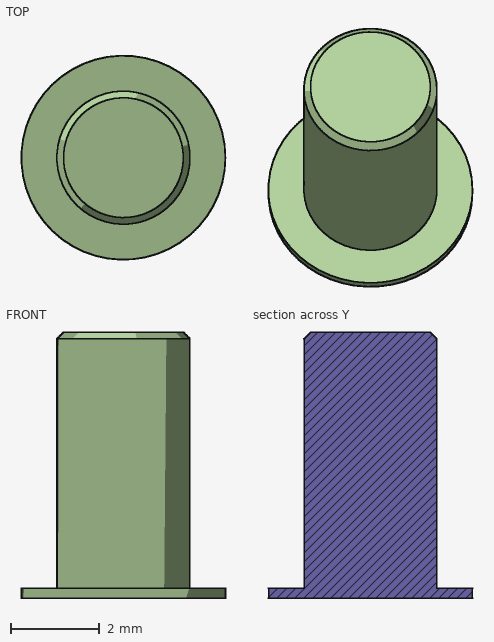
import cadquery as cq

total_height = 6.0
flange_diameter = 4.6
flange_thickness = 0.23
shank_diameter = 3.0
tip_chamfer = 0.15

flange = cq.Workplane("XY").circle(flange_diameter / 2).extrude(flange_thickness)

shank = (
    cq.Workplane("XY")
    .circle(shank_diameter / 2)
    .extrude(total_height)
    .faces(">Z")
    .chamfer(tip_chamfer)
)

result = flange.union(shank)